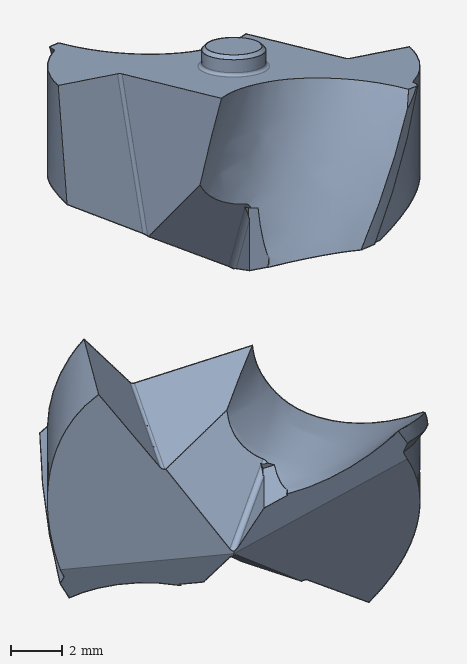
import cadquery as cq
import math

point_depth = 8.27
blank_depth = 8.76
land_radius = 7.55
relief_radius = 7.25
twist_per_unit = 4.47

land_start_angle = 190.0
land_end_angle = 200.0
relief_start_angle = 202.5

flute_wall = [
    (-7.63, -1.89), (-5.32, -1.75), (-3.61, -0.95), (-2.48, 0.3),
    (-2.02, 1.66), (-1.98, 2.57), (-2.15, 3.46), (-2.72, 5.13),
]
outer_reach = 10.57

notch_floor_y = 3.47
notch_corner_x = 2.9
notch_wall_run = 0.35
notch_wall_lean = 0.2
notch_corner_radius = 0.15

point_rise = 0.36
lip_rise = 0.05
heel_rise = 0.39

gash_roof_rise_x = 1.03
gash_roof_rise_y = 0.98
gash_wall_slope = 0.7
gash_valley_x = 2.07
gash_heel_x = -1.96
gash_stretch = 2.5
gash_valley_radius = 0.24

lip_flat_y = 1.22
lip_flat_start_x = 1.7
lip_flat_end_x = 2.72
lip_flat_top = -5.06

corner_half_width = 7.14
corner_rise = 1.09
corner_run = 0.41

stud_radius = 1.25
stud_height = 0.82
stud_chamfer = 0.15
root_radius = 0.14


def polar(radius, angle):
    turn = math.radians(angle)
    return (radius * math.cos(turn), radius * math.sin(turn))


def cut_both_sides(body, tool):
    turned = tool.rotate((0, 0, 0), (0, 0, 1), 180)
    return body.cut(tool).cut(turned)


def twist_down(profile):
    return profile.twistExtrude(-blank_depth, twist_per_unit * blank_depth)


def polyhedron(faces):
    flats = [cq.Face.makeFromWires(cq.Wire.makePolygon(pts, close=True)) for pts in faces]
    return cq.Workplane(obj=cq.Solid.makeSolid(cq.Shell.makeShell(flats)))


def pyramid(apex, base):
    """Flat-sided pyramid from an apex and an ordered planar base."""
    vectors = [cq.Vector(*p) for p in base]
    tip = cq.Vector(*apex)
    sides = [[tip, p, q] for p, q in zip(vectors, vectors[1:] + vectors[:1])]
    return polyhedron(sides + [vectors])


def make_blank():
    outline = cq.Workplane("XY").moveTo(*polar(land_radius, land_start_angle))
    for half_turn in (0, 180):
        relief_end = land_start_angle + half_turn + 180
        relief_start = relief_start_angle + half_turn
        land_mid = (land_start_angle + land_end_angle) / 2 + half_turn
        relief_mid = (relief_start + relief_end) / 2
        outline = (
            outline.threePointArc(polar(land_radius, land_mid), polar(land_radius, land_end_angle + half_turn))
            .lineTo(*polar(relief_radius, relief_start))
            .threePointArc(polar(relief_radius, relief_mid), polar(relief_radius, relief_end))
        )
        if half_turn == 0:
            outline = outline.lineTo(*polar(land_radius, relief_end))
    return twist_down(outline.close())


def make_flute():
    end_y = flute_wall[-1][1]
    start_y = flute_wall[0][1]
    profile = (
        cq.Workplane("XY").moveTo(*flute_wall[0]).spline(flute_wall[1:], includeCurrent=True)
        .lineTo(-outer_reach, end_y).lineTo(-outer_reach, start_y).close()
    )
    return twist_down(profile)


def make_notch():
    """Notch on the -Y side: upright floor and a leaning wall."""
    def wall_x(y, z):
        return -notch_corner_x + notch_wall_run * (y + notch_floor_y) - notch_wall_lean * z

    def section(z):
        return [
            (wall_x(-notch_floor_y, z), -notch_floor_y, z), (outer_reach, -notch_floor_y, z),
            (outer_reach, -outer_reach, z), (wall_x(-outer_reach, z), -outer_reach, z),
        ]

    wires = [cq.Wire.makePolygon([cq.Vector(*p) for p in section(z)], close=True)
             for z in (0, -blank_depth)]
    notch = cq.Workplane(obj=cq.Solid.makeLoft(wires, True))
    inner_x = wall_x(-notch_floor_y, -blank_depth / 2)
    inner_edge = cq.selectors.NearestToPointSelector((inner_x, -notch_floor_y, -blank_depth / 2))
    return notch.edges(inner_edge).fillet(notch_corner_radius)


def make_point():
    """Four-facet pyramid holding the material above the drill point."""
    half_x = point_depth / point_rise
    end_y = 2 * point_depth / (heel_rise - lip_rise)
    end_x = (point_depth + lip_rise * end_y) / point_rise
    base = [(half_x, 0, 0), (-end_x, end_y, 0), (-half_x, 0, 0), (end_x, -end_y, 0)]
    return pyramid((0, 0, -point_depth), base)


def make_gash():
    def on_roof(x, y):
        return (x, y, gash_roof_rise_x * x - gash_roof_rise_y * y)

    valley_y = -gash_wall_slope * gash_valley_x
    corners = [
        on_roof(gash_valley_x, valley_y),
        on_roof(gash_heel_x, -notch_floor_y),
        (gash_valley_x, valley_y, -gash_valley_x),
    ]
    base = [
        (gash_stretch * x, gash_stretch * y, gash_stretch * z - point_depth)
        for x, y, z in corners
    ]
    gash = pyramid((0, 0, -point_depth), base)
    valley_middle = [(b + t) / 2 for b, t in zip(base[0], (0, 0, -point_depth))]
    valley = cq.selectors.NearestToPointSelector(tuple(valley_middle))
    return gash.edges(valley).fillet(gash_valley_radius)


def make_lip_flat():
    """Cutter leaving an upright flat where the gash wall runs into the flute."""
    return cq.Workplane("XY").box(
        lip_flat_end_x - lip_flat_start_x, notch_floor_y - lip_flat_y, blank_depth, centered=False
    ).translate((lip_flat_start_x, -notch_floor_y, lip_flat_top - blank_depth))


def make_corner_relief():
    return (
        cq.Workplane("XZ", origin=(0, outer_reach, 0))
        .polyline([(-corner_half_width, 0), (-corner_half_width - corner_run, -corner_rise),
                   (-outer_reach, -corner_rise), (-outer_reach, 0)])
        .close().extrude(2 * outer_reach)
    )


def make_stud():
    profile = (
        cq.Workplane("XZ").moveTo(0, -root_radius).lineTo(stud_radius + root_radius, -root_radius)
        .lineTo(stud_radius + root_radius, 0)
        .radiusArc((stud_radius, root_radius), root_radius)
        .lineTo(stud_radius, stud_height - stud_chamfer)
        .lineTo(stud_radius - stud_chamfer, stud_height)
        .lineTo(0, stud_height).close()
    )
    return profile.revolve(360, (0, 0, 0), (0, 1, 0))


body = make_blank()
body = cut_both_sides(body, make_flute())
body = cut_both_sides(body, make_notch())
body = body.intersect(make_point())
body = cut_both_sides(body, make_gash())
body = cut_both_sides(body, make_lip_flat())
body = cut_both_sides(body, make_corner_relief())
result = body.union(make_stud())